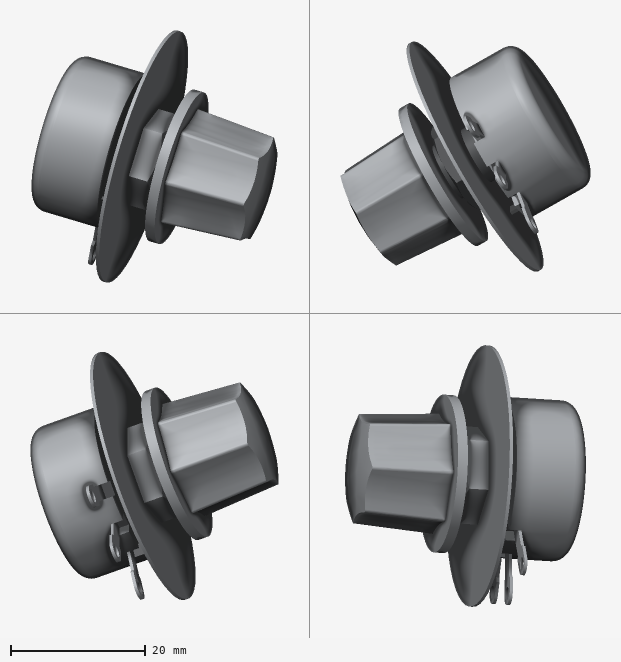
import cadquery as cq
import math


case_length = 11.0
panel_start = 13.5
panel_thickness = 0.5
nut_start = panel_start + panel_thickness
nut_length = 3.5
nut_end = nut_start + nut_length
flange_start = 18.5
flange_end = 20.0
knob_rim = 32.18
knob_tip = 33.5

case_radius = 12.0
case_rounding = 2.0
panel_radius = 19.5
bushing_radius = 4.5
flange_radius = 11.78

nut_sides = 6
nut_across_flats = 13.0
nut_chamfer_angle = 30.0

knob_sides = 7
knob_base_radius = 9.32
knob_rim_radius = 8.5
knob_side_hollow = 0.5
knob_ridge_rounding = 0.5

tab_inner = 9.75
tab_thickness = 0.5
tab_width = 2.73

lug_angles = (-30.0, 0.0, 30.0)
lug_start = 9.05
lug_thickness = 0.45
lug_root = 10.0
lug_shank_half_width = 1.15
lug_head_radius = 1.68
lug_head_start = 15.68
lug_hole_radius = 1.0
lug_hole_distance = panel_radius - lug_head_radius


def disc(start, end, radius):
    """Cylinder on the X axis between two stations."""
    return cq.Workplane("YZ", origin=(start, 0, 0)).circle(radius).extrude(end - start)


def make_case():
    return disc(0, case_length, case_radius).faces("<X").edges().fillet(case_rounding)


def make_nut():
    """Hexagon nut whose outer corners are bevelled by a cone on the +X side."""
    flat_radius = nut_across_flats / 2
    corner_radius = flat_radius / math.cos(math.pi / nut_sides)
    bevel_drop = (corner_radius - flat_radius) * math.tan(math.radians(nut_chamfer_angle))
    hexagon = (
        cq.Workplane("YZ", origin=(nut_start, 0, 0))
        .polygon(nut_sides, 2 * corner_radius)
        .extrude(nut_length)
        .rotate((0, 0, 0), (1, 0, 0), 90)
    )
    envelope = (
        cq.Workplane("XY")
        .moveTo(nut_start, 0)
        .lineTo(nut_start, corner_radius)
        .lineTo(nut_end - bevel_drop, corner_radius)
        .lineTo(nut_end, flat_radius)
        .lineTo(nut_end, 0)
        .close()
        .revolve(360, (0, 0, 0), (1, 0, 0))
    )
    return hexagon.intersect(envelope)


def add_knob_outline(plane, radius):
    """Seven-cornered outline with hollow sides; the first corner points to +Z."""
    step = 2 * math.pi / knob_sides
    middle_radius = radius * math.cos(step / 2) - knob_side_hollow

    def polar(distance, angle):
        return (distance * math.sin(angle), distance * math.cos(angle))

    outline = plane.moveTo(*polar(radius, 0))
    for side in range(knob_sides):
        middle = polar(middle_radius, (side + 0.5) * step)
        corner = polar(radius, (side + 1) * step)
        outline = outline.threePointArc(middle, corner)
    return outline.close()


def make_knob():
    """Tapered grip with rounded ridges, closed by a shallow spherical dome."""
    taper = (knob_base_radius - knob_rim_radius) / (knob_rim - flange_end)
    tip_radius = knob_base_radius - taper * (knob_tip - flange_end)
    base = add_knob_outline(cq.Workplane("YZ", origin=(flange_end, 0, 0)), knob_base_radius)
    end_plane = base.workplane(offset=knob_tip - flange_end)
    grip = add_knob_outline(end_plane, tip_radius).loft(ruled=True)
    grip = grip.edges("not(<X or >X)").fillet(knob_ridge_rounding)

    dome_height = knob_tip - knob_rim
    dome_radius = (knob_rim_radius**2 + dome_height**2) / (2 * dome_height)
    dome = cq.Workplane("XY").sphere(dome_radius).translate((knob_tip - dome_radius, 0, 0))
    return grip.intersect(dome)


def make_tab():
    """Flat tab on the -Y side, reaching from the case to the panel."""
    tab_length = panel_start - case_length
    return (
        cq.Workplane("XY")
        .box(tab_length, tab_thickness, tab_width, centered=(False, False, True))
        .translate((case_length, -tab_inner - tab_thickness, 0))
    )


def make_lug():
    """Solder lug pointing to -Z: a narrow shank, 45 degree shoulders and a round eyelet."""
    shoulder = lug_head_radius - lug_shank_half_width
    shank_end = lug_head_start - shoulder
    return (
        cq.Workplane("YZ", origin=(lug_start, 0, 0))
        .moveTo(-lug_shank_half_width, -lug_root)
        .lineTo(-lug_shank_half_width, -shank_end)
        .lineTo(-lug_head_radius, -lug_head_start)
        .lineTo(-lug_head_radius, -lug_hole_distance)
        .threePointArc((0, -panel_radius), (lug_head_radius, -lug_hole_distance))
        .lineTo(lug_head_radius, -lug_head_start)
        .lineTo(lug_shank_half_width, -shank_end)
        .lineTo(lug_shank_half_width, -lug_root)
        .close()
        .moveTo(0, -lug_hole_distance)
        .circle(lug_hole_radius)
        .extrude(lug_thickness)
    )


def make_lug_slot():
    """Slot through the case rim, as wide as the lug shank and open towards the panel."""
    slot_length = case_length - lug_start
    slot_width = 2 * lug_shank_half_width
    slot_depth = case_radius - lug_root
    return (
        cq.Workplane("XY")
        .box(slot_length, slot_width, slot_depth, centered=(False, True, False))
        .translate((lug_start, 0, -case_radius))
    )


def around_shaft(shape, angle):
    return shape.rotate((0, 0, 0), (1, 0, 0), angle)


case = make_case()
for angle in lug_angles:
    case = case.cut(around_shaft(make_lug_slot(), angle))
for angle in lug_angles:
    case = case.union(around_shaft(make_lug(), angle))

result = (
    case.union(disc(case_length, flange_start, bushing_radius))
    .union(disc(panel_start, nut_start, panel_radius))
    .union(make_nut())
    .union(disc(flange_start, flange_end, flange_radius))
    .union(make_knob())
    .union(make_tab())
)